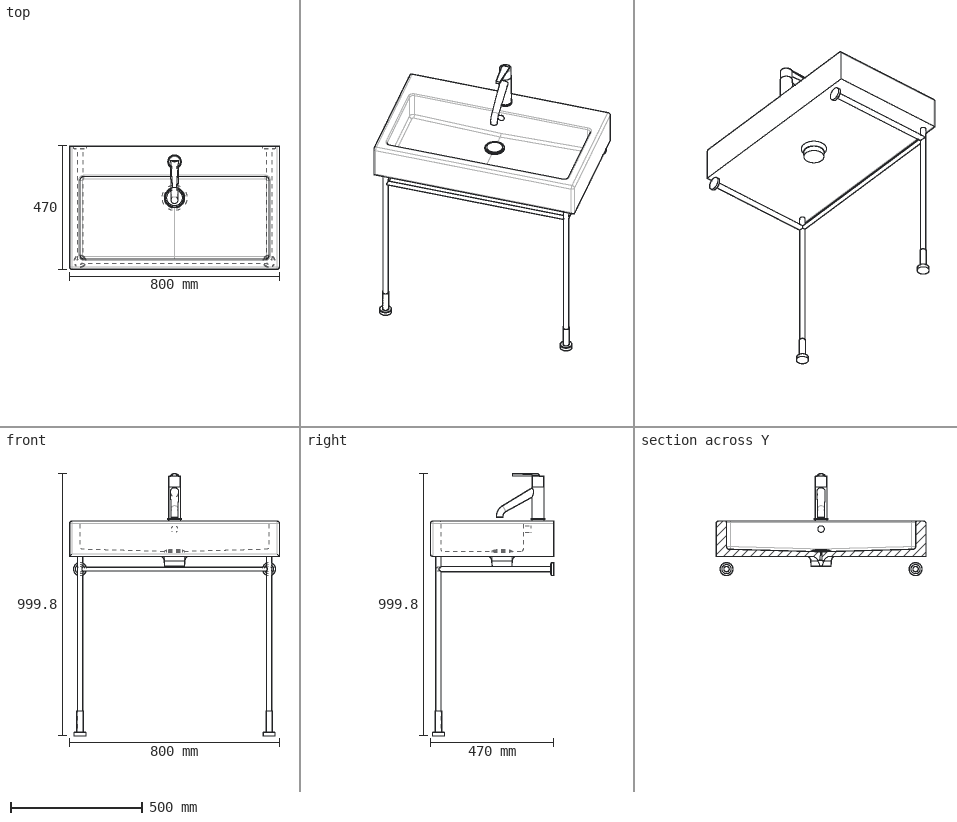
import cadquery as cq
import math


BASIN_WIDTH = 800.0
BASIN_DEPTH = 470.0
BASIN_HEIGHT = 135.5
BASIN_TOP = 819.0
BASIN_BOTTOM = BASIN_TOP - BASIN_HEIGHT
OUTER_FILLET = 10.0

RIM = 40.0
BACK_SHELF = 116.0
BOWL_WIDTH = BASIN_WIDTH - 2 * RIM
BOWL_LENGTH = BASIN_DEPTH - RIM - BACK_SHELF
BOWL_END_DEPTH = 107.0
BOWL_CENTER_DEPTH = 117.0
BOWL_CORNER_RADIUS = 15.0
BOWL_FLOOR_FILLET = 10.0
RIM_FILLET = 5.0

OVERFLOW_DIAMETER = 25.0
OVERFLOW_DEPTH = 30.0
OVERFLOW_Z = BASIN_TOP - 31.0

DRAIN_Y = -197.0
BOSS_DIAMETER = 80.0
BOSS_FLARE_WIDTH = 8.0
BOSS_FLARE_RADIUS = 22.0
BOSS_BOTTOM = 667.0
DRAIN_DIAMETER = 76.0
DRAIN_BOTTOM = 646.0
DRAIN_RIM_HEIGHT = 5.0
DRAIN_RIM_CHAMFER = 3.0
DRAIN_RIM_TOP = BASIN_TOP - BOWL_CENTER_DEPTH + DRAIN_RIM_HEIGHT
PLUG_DIAMETER = 60.0
PLUG_RECESS = 8.0
PLUG_EDGE_RISE = 1.0
PLUG_DOME_RISE = 3.0

FAUCET_Y = -60.0
BASE_RING_DIAMETER = 52.0
BASE_RING_LIFT = 5.0
BASE_RING_HEIGHT = 4.0
COLUMN_DIAMETER = 46.0
COLUMN_TOP = 949.0
SPOUT_ROOT_DIAMETER = 32.0
SPOUT_DIAMETER = 26.0
SPOUT_SLOPE = math.radians(30)
SPOUT_AXIS_Z = 940.0
SPOUT_ROOT_OFFSET = 12.0
SPOUT_BEND_RADIUS = 35.0
SPOUT_REACH = 146.0
SPOUT_LIP_LENGTH = 3.0

CAP_DIAMETER = 45.0
CAP_TOP = 990.0
CAP_FILLET = 2.0
LEVER_BOTTOM = 990.0
LEVER_TOP = 999.79
LEVER_BACK = 5.0
LEVER_REACH = 98.0
LEVER_ROOT_WIDTH = 30.0
LEVER_TIP_WIDTH = 15.0
LEVER_CROWN_RADIUS = 20.0
LEVER_BACK_CHAMFER = 5.0

LEG_X = 360.0
LEG_Y = -439.0
LEG_DIAMETER = 21.0
RAIL_Z = 635.6
FRONT_RAIL_DIAMETER = 16.0
FLANGE_DIAMETER = 50.0
FLANGE_THICKNESS = 12.0
FLANGE_FACE_DIAMETER = 35.0
FLANGE_BEVEL = 3.0

SLEEVE_DIAMETER = 25.0
SLEEVE_TOP = 96.0
FOOT_DIAMETER = 46.0
FOOT_HEIGHT = 15.0
FOOT_CHAMFER = 2.0
LEG_BOTTOM = FOOT_HEIGHT


def rod(diameter, start, end):
    """Round bar between two points."""
    axis = cq.Vector(*end) - cq.Vector(*start)
    return cq.Workplane(obj=cq.Solid.makeCylinder(diameter / 2, axis.Length, cq.Vector(*start), axis))


def upright(diameter, x, y, bottom, top):
    """Round bar standing along Z."""
    return rod(diameter, (x, y, bottom), (x, y, top))


def make_bowl():
    """Bowl cavity whose floor falls from both ends to a crease at X = 0."""
    half_width = BOWL_WIDTH / 2
    half_bowl = (
        cq.Workplane("XZ", origin=(0, -BACK_SHELF, BASIN_TOP))
        .lineTo(half_width, 0)
        .lineTo(half_width, -BOWL_END_DEPTH)
        .lineTo(0, -BOWL_CENTER_DEPTH)
        .close()
        .extrude(BOWL_LENGTH)
        .edges("|Z and >X")
        .fillet(BOWL_CORNER_RADIUS)
        .faces("<Z")
        .edges("not <X")
        .fillet(BOWL_FLOOR_FILLET)
    )
    return half_bowl.union(half_bowl.mirror("YZ"))


def make_drain_boss():
    """Flared boss below the basin that carries the drain."""
    radius = BOSS_DIAMETER / 2
    return (
        cq.Workplane("XZ", origin=(0, DRAIN_Y, 0))
        .moveTo(0, BASIN_BOTTOM)
        .lineTo(radius + BOSS_FLARE_WIDTH, BASIN_BOTTOM)
        .radiusArc((radius, BOSS_BOTTOM), -BOSS_FLARE_RADIUS)
        .lineTo(0, BOSS_BOTTOM)
        .close()
        .revolve(360, (0, 0, 0), (0, 1, 0))
    )


def make_basin():
    """Basin block with its bowl, overflow hole, drain boss and the hole for the drain."""
    block = (
        cq.Workplane("XY", origin=(0, -BASIN_DEPTH / 2, BASIN_BOTTOM))
        .box(BASIN_WIDTH, BASIN_DEPTH, BASIN_HEIGHT, centered=(True, True, False))
        .edges("(|Z and <Y) or (>Z and (not >Y)) or (<Z and <Y)")
        .fillet(OUTER_FILLET)
    )
    basin = block.cut(make_bowl())
    bowl_mouth = cq.selectors.BoxSelector(
        (-BOWL_WIDTH / 2 - RIM_FILLET, -BACK_SHELF - BOWL_LENGTH - RIM_FILLET, BASIN_TOP - RIM_FILLET),
        (BOWL_WIDTH / 2 + RIM_FILLET, -BACK_SHELF + RIM_FILLET, BASIN_TOP + RIM_FILLET),
    )
    basin = basin.edges(bowl_mouth).fillet(RIM_FILLET)
    overflow = rod(
        OVERFLOW_DIAMETER,
        (0, -BACK_SHELF, OVERFLOW_Z),
        (0, -BACK_SHELF + OVERFLOW_DEPTH, OVERFLOW_Z),
    )
    return basin.union(make_drain_boss()).cut(overflow).cut(make_drain_body())


def make_drain_body():
    """Drain tube with a chamfered rim above the bowl floor and a tapered tail below the boss."""
    tube = upright(DRAIN_DIAMETER, 0, DRAIN_Y, BOSS_BOTTOM, DRAIN_RIM_TOP)
    tube = tube.faces(">Z").edges().chamfer(DRAIN_RIM_CHAMFER)
    tail = (
        cq.Workplane("XY", origin=(0, DRAIN_Y, DRAIN_BOTTOM))
        .circle(DRAIN_DIAMETER / 2)
        .workplane(offset=BOSS_BOTTOM - DRAIN_BOTTOM)
        .circle(BOSS_DIAMETER / 2)
        .loft()
    )
    return tube.union(tail)


def make_plug():
    """Plug with a domed head, sunk into the drain."""
    height = PLUG_RECESS + PLUG_EDGE_RISE
    radius = PLUG_DIAMETER / 2
    dome_radius = (radius**2 + PLUG_DOME_RISE**2) / (2 * PLUG_DOME_RISE)
    return (
        cq.Workplane("XZ", origin=(0, DRAIN_Y, DRAIN_RIM_TOP - PLUG_RECESS))
        .lineTo(radius, 0)
        .lineTo(radius, height)
        .radiusArc((0, height + PLUG_DOME_RISE), -dome_radius)
        .close()
        .revolve(360, (0, 0, 0), (0, 1, 0))
    )


def make_spout():
    """Sloping spout that tapers, then bends down to a vertical outlet with a short lip."""
    bend_reach = SPOUT_BEND_RADIUS * (1 - math.sin(SPOUT_SLOPE))
    straight_reach = SPOUT_REACH - bend_reach
    direction = cq.Vector(0, -math.cos(SPOUT_SLOPE), -math.sin(SPOUT_SLOPE))
    start = cq.Vector(0, FAUCET_Y, SPOUT_AXIS_Z) + direction * SPOUT_ROOT_OFFSET
    length = straight_reach / math.cos(SPOUT_SLOPE) - SPOUT_ROOT_OFFSET
    straight = cq.Workplane(
        obj=cq.Solid.makeCone(SPOUT_ROOT_DIAMETER / 2, SPOUT_DIAMETER / 2, length, start, direction)
    )
    bend_angle = 90 - math.degrees(SPOUT_SLOPE)
    bend_plane = cq.Plane(origin=start + direction * length, xDir=(1, 0, 0), normal=direction)
    bend = (
        cq.Workplane(bend_plane)
        .circle(SPOUT_DIAMETER / 2)
        .revolve(bend_angle, (0, -SPOUT_BEND_RADIUS, 0), (1, -SPOUT_BEND_RADIUS, 0))
    )
    outlet_z = bend.val().BoundingBox().zmin
    outlet_y = FAUCET_Y - SPOUT_REACH
    lip = upright(SPOUT_DIAMETER, 0, outlet_y, outlet_z - SPOUT_LIP_LENGTH, outlet_z)
    return straight.union(bend).union(lip)


def make_faucet_body():
    """Column with its base ring and the spout."""
    column = upright(COLUMN_DIAMETER, 0, FAUCET_Y, BASIN_TOP, COLUMN_TOP)
    ring_bottom = BASIN_TOP + BASE_RING_LIFT
    base_ring = upright(BASE_RING_DIAMETER, 0, FAUCET_Y, ring_bottom, ring_bottom + BASE_RING_HEIGHT)
    return column.union(base_ring).union(make_spout())


def make_handle():
    """Round cap with a tapered lever whose top is rounded across its width."""
    cap = upright(CAP_DIAMETER, 0, FAUCET_Y, COLUMN_TOP, CAP_TOP).faces(">Z").edges().fillet(CAP_FILLET)
    back_y = FAUCET_Y + LEVER_BACK
    tip_y = FAUCET_Y - LEVER_REACH
    root = LEVER_ROOT_WIDTH / 2
    tip = LEVER_TIP_WIDTH / 2
    lever_outline = [(-root, back_y), (root, back_y), (tip, tip_y), (-tip, tip_y)]
    blade = (
        cq.Workplane("XY", origin=(0, 0, LEVER_BOTTOM))
        .polyline(lever_outline)
        .close()
        .extrude(LEVER_TOP - LEVER_BOTTOM)
        .edges(">Y and >Z")
        .chamfer(LEVER_BACK_CHAMFER)
    )
    crown_z = LEVER_TOP - LEVER_CROWN_RADIUS
    crown = rod(2 * LEVER_CROWN_RADIUS, (0, back_y, crown_z), (0, tip_y, crown_z))
    return cap.union(blade.intersect(crown))


def make_foot(x):
    """Adjustable foot: a round pad under a sleeve that takes the leg."""
    pad = upright(FOOT_DIAMETER, x, LEG_Y, 0, FOOT_HEIGHT).faces(">Z").edges().chamfer(FOOT_CHAMFER)
    sleeve = upright(SLEEVE_DIAMETER, x, LEG_Y, FOOT_HEIGHT, SLEEVE_TOP)
    socket = upright(LEG_DIAMETER, x, LEG_Y, LEG_BOTTOM, SLEEVE_TOP)
    return pad.union(sleeve).cut(socket)


def make_side(x):
    """Leg, wall rail and wall flange on one side of the frame."""
    leg = upright(LEG_DIAMETER, x, LEG_Y, LEG_BOTTOM, BASIN_BOTTOM)
    rail = rod(LEG_DIAMETER, (x, LEG_Y, RAIL_Z), (x, 0, RAIL_Z))
    flange_profile = [
        (0, 0),
        (FLANGE_DIAMETER / 2, 0),
        (FLANGE_DIAMETER / 2, FLANGE_BEVEL - FLANGE_THICKNESS),
        (FLANGE_FACE_DIAMETER / 2, -FLANGE_THICKNESS),
        (0, -FLANGE_THICKNESS),
    ]
    flange = (
        cq.Workplane("XY", origin=(x, 0, RAIL_Z))
        .polyline(flange_profile)
        .close()
        .revolve(360, (0, 0, 0), (0, 1, 0))
    )
    return leg.union(rail).union(flange)


def make_frame():
    """Two sides joined by the front rail."""
    front_rail = rod(FRONT_RAIL_DIAMETER, (-LEG_X, LEG_Y, RAIL_Z), (LEG_X, LEG_Y, RAIL_Z))
    return make_side(-LEG_X).union(front_rail).union(make_side(LEG_X))


plug = make_plug()
drain = make_drain_body().cut(plug)
basin = make_basin()
faucet_body = make_faucet_body()
handle = make_handle()
frame = make_frame()
feet = [make_foot(x) for x in (-LEG_X, LEG_X)]

result = cq.Compound.makeCompound(
    [
        basin.val(),
        drain.val(),
        plug.val(),
        faucet_body.val(),
        handle.val(),
        frame.val(),
        *[foot.val() for foot in feet],
    ]
)